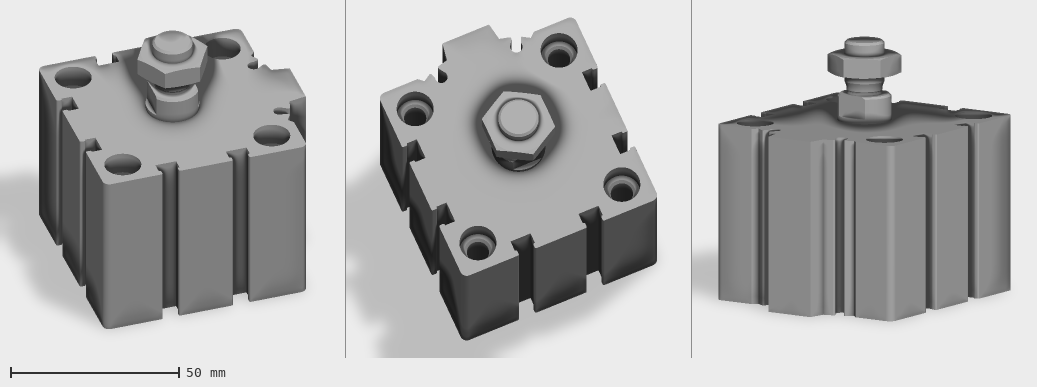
import cadquery as cq
import math

width = 63.5
half_width = width / 2
housing_height = 53.0
overall_height = 77.0
overall_depth = 71.0
rail_top_y = overall_depth - half_width
corner_radius = 2.0

rail_top = (7.55, rail_top_y)
rail_root = (8.5, 33.8)
rail_lip = (12.2, 32.9)
groove_centre = (12.2, 29.5)
groove_radius = 1.85
groove_inner_angle = 42.0
groove_outer_angle = 165.0
groove_lip = (14.6, 31.95)
notch_bottom = (17.25, 30.3)
notch_edge = (18.9, half_width)
rail_lip_rounding = 0.55
groove_lip_rounding = 0.4

slot_offset = 11.0
slot_mouth = 5.15
slot_inner = 6.5
slot_lip = 1.8
slot_depth = 5.0
slot_rounding = 0.5
slot_overrun = 1.55

hole_spacing = 46.7
hole_diameter = 6.6
counterbore_diameter = 11.0
counterbore_depth = 6.8
hole_chamfer_diameter = 8.2

rod_diameter = 16.0
rod_chamfer = 0.6
shoulder_height = 8.0
flat_distance = 13.0
flat_bottom = 1.5
neck_base_diameter = 10.6
neck_diameter = 10.2
neck_bottom = 8.55
neck_top = 8.85
runout_bottom = 9.2
thread_diameter = 12.0
thread_bottom = 11.7
thread_chamfer = 0.7
rod_height = overall_height - housing_height

nut_across_flats = 19.0
nut_thickness = 6.0
nut_bottom = 14.0
nut_sides = 6
nut_half_side_angle = 180 / nut_sides
nut_chamfer_angle = 15.0


def on_groove(angle):
    """Point of the right-hand sensor groove, at an angle in degrees counted from its rail side."""
    turn = math.radians(angle)
    return (
        groove_centre[0] - groove_radius * math.cos(turn),
        groove_centre[1] + groove_radius * math.sin(turn),
    )


def make_block():
    """Extruded body with rounded corners and the sensor rail on its +Y side."""
    groove_bottom = (groove_centre[0], groove_centre[1] - groove_radius)
    block = (
        cq.Workplane("XY")
        .moveTo(0, rail_top_y)
        .lineTo(*rail_top)
        .lineTo(*rail_root)
        .lineTo(*rail_lip)
        .lineTo(*on_groove(groove_inner_angle))
        .threePointArc(groove_bottom, on_groove(groove_outer_angle))
        .lineTo(*groove_lip)
        .lineTo(*notch_bottom)
        .lineTo(*notch_edge)
        .lineTo(half_width, half_width)
        .lineTo(half_width, -half_width)
        .lineTo(0, -half_width)
        .mirrorY()
        .extrude(housing_height)
    )
    corners = [(half_width, half_width), (half_width, -half_width)]
    block = round_vertical_edges(block, corners, corner_radius)
    block = round_vertical_edges(block, [rail_lip], rail_lip_rounding)
    return round_vertical_edges(block, [groove_lip], groove_lip_rounding)


def round_vertical_edges(body, places, radius):
    """Fillet the vertical edges at the given (x, y) places and at their mirror images in X."""
    for x, y in places:
        for side in (-1, 1):
            edge_middle = (side * x, y, housing_height / 2)
            body = body.edges(cq.selectors.NearestToPointSelector(edge_middle)).fillet(radius)
    return body


def make_slot_cutter():
    """T-slot that opens on the -Y face, centred on X = 0, with rounded lips."""
    half_mouth = slot_mouth / 2
    half_inner = slot_inner / 2
    face_y = -half_width
    cutter = (
        cq.Workplane("XY")
        .moveTo(0, face_y - slot_overrun)
        .lineTo(half_inner, face_y - slot_overrun)
        .lineTo(half_inner, face_y)
        .lineTo(half_mouth, face_y)
        .lineTo(half_mouth, face_y + slot_lip)
        .lineTo(half_inner, face_y + slot_lip)
        .lineTo(half_inner, face_y + slot_depth)
        .lineTo(0, face_y + slot_depth)
        .mirrorY()
        .extrude(housing_height)
    )
    reach = (half_mouth + half_inner) / 2
    lip_edges = cq.selectors.BoxSelector((-reach, -width, 0), (reach, 0, housing_height))
    return cutter.edges("|Z").edges(lip_edges).fillet(slot_rounding)


def make_housing():
    housing = make_block()

    slot = make_slot_cutter()
    for face_angle in (-90, 0, 90):
        for offset in (-slot_offset, slot_offset):
            placed_slot = slot.translate((offset, 0, 0)).rotate((0, 0, 0), (0, 0, 1), face_angle)
            housing = housing.cut(placed_slot)

    chamfer = (hole_chamfer_diameter - hole_diameter) / 2
    floor_z = housing_height - counterbore_depth
    hole_profile = (
        cq.Workplane("XZ")
        .lineTo(hole_diameter / 2, 0)
        .lineTo(hole_diameter / 2, floor_z - chamfer)
        .lineTo(hole_chamfer_diameter / 2, floor_z)
        .lineTo(counterbore_diameter / 2, floor_z)
        .lineTo(counterbore_diameter / 2, housing_height)
        .lineTo(0, housing_height)
        .close()
    )
    hole = hole_profile.revolve(360, (0, 0, 0), (0, 1, 0))
    for x in (-hole_spacing / 2, hole_spacing / 2):
        for y in (-hole_spacing / 2, hole_spacing / 2):
            housing = housing.cut(hole.translate((x, y, 0)))
    return housing


def make_rod():
    """Turned rod with wrench flats, an undercut neck and a plain thread end."""
    neck_radius = neck_diameter / 2
    thread_radius = thread_diameter / 2

    runout_start_radius = neck_base_diameter / 2
    runout_rise = thread_bottom - runout_bottom
    runout_step = thread_radius - runout_start_radius
    runout_radius = (runout_step**2 + runout_rise**2) / (2 * runout_step)
    runout_mid_z = runout_rise / 2
    runout_mid = (
        runout_start_radius + runout_radius - math.sqrt(runout_radius**2 - runout_mid_z**2),
        runout_bottom + runout_mid_z,
    )
    rod = (
        cq.Workplane("XZ")
        .lineTo(rod_diameter / 2, 0)
        .lineTo(rod_diameter / 2, shoulder_height - rod_chamfer)
        .lineTo(rod_diameter / 2 - rod_chamfer, shoulder_height)
        .lineTo(neck_base_diameter / 2, shoulder_height)
        .lineTo(neck_radius, neck_bottom)
        .lineTo(neck_radius, neck_top)
        .lineTo(runout_start_radius, runout_bottom)
        .threePointArc(runout_mid, (thread_radius, thread_bottom))
        .lineTo(thread_radius, rod_height - thread_chamfer)
        .lineTo(thread_radius - thread_chamfer, rod_height)
        .lineTo(0, rod_height)
        .close()
        .revolve(360, (0, 0, 0), (0, 1, 0))
    )
    flat_height = shoulder_height - flat_bottom
    flat_cut = cq.Workplane("XY").box(
        rod_diameter, rod_diameter, flat_height, centered=(True, False, False)
    )
    rod = rod.cut(flat_cut.translate((0, flat_distance / 2, flat_bottom)))
    rod = rod.cut(flat_cut.translate((0, -flat_distance / 2 - rod_diameter, flat_bottom)))
    return rod.translate((0, 0, housing_height))


def make_nut():
    """Hexagon nut with corners towards +Y and -Y, chamfered on both ends."""
    face_radius = nut_across_flats / 2
    corner_reach = face_radius / math.cos(math.radians(nut_half_side_angle))
    chamfer_drop = (corner_reach - face_radius) * math.tan(math.radians(nut_chamfer_angle))
    hexagon = (
        cq.Workplane("XY")
        .polygon(nut_sides, 2 * corner_reach)
        .extrude(nut_thickness)
        .rotate((0, 0, 0), (0, 0, 1), nut_half_side_angle)
    )
    chamfer_envelope = (
        cq.Workplane("XZ")
        .lineTo(face_radius, 0)
        .lineTo(corner_reach, chamfer_drop)
        .lineTo(corner_reach, nut_thickness - chamfer_drop)
        .lineTo(face_radius, nut_thickness)
        .lineTo(0, nut_thickness)
        .close()
        .revolve(360, (0, 0, 0), (0, 1, 0))
    )
    bore = cq.Workplane("XY").circle(thread_diameter / 2).extrude(nut_thickness)
    nut = hexagon.intersect(chamfer_envelope).cut(bore)
    return nut.translate((0, 0, housing_height + nut_bottom))


housing = make_housing()
rod = make_rod()
nut = make_nut()

result = cq.Compound.makeCompound([housing.val(), rod.val(), nut.val()])